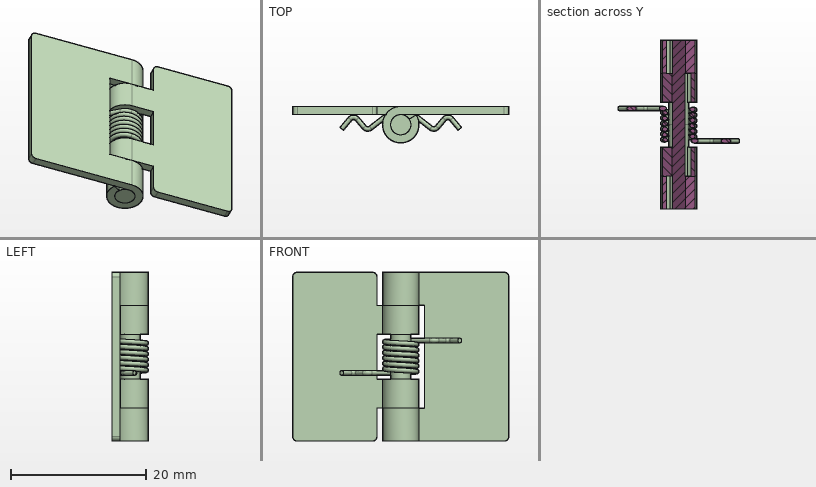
import cadquery as cq
import math


hinge_height = 25.0
leaf_reach = 16.0
leaf_thickness = 1.2
corner_radius = 0.7
plate_edge = 3.5
knuckle_joint_z = 7.6
spring_gap_z = 3.3
curl_end_angle = 33.0

pin_radius = 1.5
knuckle_radius = pin_radius + leaf_thickness

wire_radius = 0.35
coil_radius = knuckle_radius - wire_radius
coil_turns = 6
coil_pitch = 0.8
coil_height = coil_turns * coil_pitch

coil_end_angle = 90.0
leg_wrap = 38.0
leg_root_length = 3.8
leg_middle_length = 1.6
leg_tip_length = 1.9
bend_radius = 0.7
bend_slope = 50.0
root_bend = leg_wrap + bend_slope
tip_bend = -2 * bend_slope


def polar(radius, angle):
    return (radius * math.cos(math.radians(angle)), radius * math.sin(math.radians(angle)))


def curled_strip():
    """Full-height leaf on the +X side, tangent to the top of its curl around the pin."""
    curl_middle_angle = (90 + 360 + curl_end_angle) / 2
    return (
        cq.Workplane("XY")
        .workplane(offset=-hinge_height / 2)
        .moveTo(leaf_reach, knuckle_radius)
        .lineTo(0, knuckle_radius)
        .threePointArc(polar(knuckle_radius, curl_middle_angle), polar(knuckle_radius, curl_end_angle))
        .lineTo(*polar(pin_radius, curl_end_angle))
        .threePointArc(polar(pin_radius, curl_middle_angle), (0, pin_radius))
        .lineTo(leaf_reach, pin_radius)
        .close()
        .extrude(hinge_height)
    )


def knuckle_notch(z_low, z_high):
    """Block that clears the knuckle and the plate edge between two heights."""
    return (
        cq.Workplane("XY")
        .workplane(offset=z_low)
        .moveTo(-knuckle_radius, -knuckle_radius)
        .lineTo(plate_edge, -knuckle_radius)
        .lineTo(plate_edge, knuckle_radius)
        .lineTo(-knuckle_radius, knuckle_radius)
        .close()
        .extrude(z_high - z_low)
    )


def build_outer_leaf():
    """Leaf on +X with the top and bottom knuckles."""
    leaf = curled_strip().cut(knuckle_notch(-knuckle_joint_z, knuckle_joint_z))
    return leaf.faces(">X").edges("|Y").fillet(corner_radius)


def build_inner_leaf():
    """Leaf on -X with the two knuckles next to the spring."""
    half_height = hinge_height / 2
    leaf = (
        curled_strip()
        .cut(knuckle_notch(-spring_gap_z, spring_gap_z))
        .cut(knuckle_notch(knuckle_joint_z, half_height))
        .cut(knuckle_notch(-half_height, -knuckle_joint_z))
    )
    plate_corners = leaf.faces(">Z or <Z").edges("|Y")
    leaf = plate_corners.fillet(corner_radius)
    return leaf.mirror("YZ")


def build_pin():
    return cq.Workplane("XY").circle(pin_radius).extrude(hinge_height / 2, both=True)


def leg_path():
    """Upper leg centreline: an arc off the coil end, then three straights joined by two bends."""
    edges = []
    leg_z = coil_height / 2

    def add_straight(start, heading, length):
        end = start + cq.Vector(*polar(length, heading))
        edges.append(cq.Edge.makeLine(start, end))
        return end

    def add_bend(start, heading, radius, turn):
        half_turn = turn / 2
        middle_chord = 2 * radius * math.sin(math.radians(abs(half_turn) / 2))
        end_chord = 2 * radius * math.sin(math.radians(abs(turn) / 2))
        middle = start + cq.Vector(*polar(middle_chord, heading + half_turn / 2))
        end = start + cq.Vector(*polar(end_chord, heading + half_turn))
        edges.append(cq.Edge.makeThreePointArc(start, middle, end))
        return end, heading + turn

    point = cq.Vector(*polar(coil_radius, coil_end_angle), leg_z)
    heading = coil_end_angle - 90
    point, heading = add_bend(point, heading, coil_radius, -leg_wrap)
    point = add_straight(point, heading, leg_root_length)
    point, heading = add_bend(point, heading, bend_radius, root_bend)
    point = add_straight(point, heading, leg_middle_length)
    point, heading = add_bend(point, heading, bend_radius, tip_bend)
    add_straight(point, heading, leg_tip_length)
    return cq.Wire.assembleEdges(edges)


def wire_section(z):
    """Round wire section where a coil end meets its leg, in the YZ plane."""
    return cq.Workplane("YZ").center(coil_radius, z).circle(wire_radius)


def build_spring():
    """Left-hand coil with the same leg at both ends, turned half a turn about Y."""
    helix = cq.Wire.makeHelix(coil_pitch, coil_height, coil_radius, lefthand=True)
    helix = helix.rotate(cq.Vector(0, 0, 0), cq.Vector(0, 0, 1), coil_end_angle)
    helix = helix.translate(cq.Vector(0, 0, -coil_height / 2))
    coil = wire_section(-coil_height / 2).sweep(helix, isFrenet=True)
    upper_leg = wire_section(coil_height / 2).sweep(leg_path())
    lower_leg = upper_leg.rotate((0, 0, 0), (0, 1, 0), 180)
    return coil.union(upper_leg).union(lower_leg)


outer_leaf = build_outer_leaf()
inner_leaf = build_inner_leaf()
pin = build_pin()
spring = build_spring()

result = cq.Compound.makeCompound(
    [
        outer_leaf.solids().val(),
        inner_leaf.solids().val(),
        pin.solids().val(),
        spring.solids().val(),
    ]
)